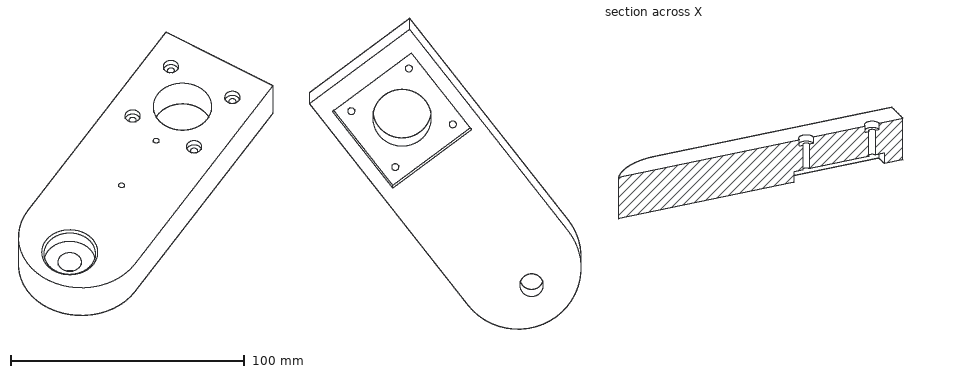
import cadquery as cq

width = 54.0
length = 138.85
thickness = 20.0
end_radius = width / 2
straight_length = length - end_radius

bore_diameter = 25.0
bore_to_square_end = 30.0
bore_y = straight_length - bore_to_square_end
screw_spacing = 31.0
screw_diameter = 3.0
screw_head_diameter = 6.5
screw_head_depth = 3.0
motor_recess_side = 42.5
motor_recess_depth = 5.0

seat_diameter = 22.0
seat_depth = 7.0
seat_chamfer = 1.0
shaft_diameter = 10.0
seat_to_round_end = 17.5
seat_y = seat_to_round_end - end_radius

pilot_diameter = 2.5
pilot_depth = 10.0
pilot_spacing = 28.0
bore_to_first_pilot = 21.35
first_pilot_y = bore_y - bore_to_first_pilot
pilot_positions = [(0, first_pilot_y), (0, first_pilot_y - pilot_spacing)]


def make_plate():
    """Extrude the round-ended outline, with its top face at Z = thickness."""
    return (
        cq.Workplane("XY")
        .moveTo(-end_radius, straight_length)
        .lineTo(-end_radius, 0)
        .threePointArc((0, -end_radius), (end_radius, 0))
        .lineTo(end_radius, straight_length)
        .close()
        .extrude(thickness)
    )


def top_plane():
    """Workplane on the top face, centred on the end-arc axis."""
    return cq.Workplane("XY", origin=(0, 0, thickness))


def cut_motor_mount(plate):
    """Remove the pilot bore, the counterbored screw holes and the motor recess."""
    bore = top_plane().center(0, bore_y).circle(bore_diameter / 2).extrude(-thickness)
    screw_square = top_plane().center(0, bore_y).rect(screw_spacing, screw_spacing, forConstruction=True)
    screws = screw_square.vertices()
    shanks = screws.circle(screw_diameter / 2).extrude(-thickness)
    heads = screws.circle(screw_head_diameter / 2).extrude(-screw_head_depth)
    recess = (
        cq.Workplane("XY")
        .center(0, bore_y)
        .rect(motor_recess_side, motor_recess_side)
        .extrude(motor_recess_depth)
    )
    return plate.cut(bore).cut(shanks).cut(heads).cut(recess)


def cut_bearing_seat(plate):
    """Revolve the stepped bearing seat and shaft hole profile about its axis and remove it."""
    seat_radius = seat_diameter / 2
    floor_z = thickness - seat_depth
    profile = [
        (0, 0),
        (shaft_diameter / 2, 0),
        (shaft_diameter / 2, floor_z),
        (seat_radius, floor_z),
        (seat_radius, thickness - seat_chamfer),
        (seat_radius + seat_chamfer, thickness),
        (0, thickness),
    ]
    cutter = cq.Workplane("XZ").polyline(profile).close().revolve(360, (0, 0), (0, 1))
    return plate.cut(cutter.translate((0, seat_y, 0)))


def cut_pilot_holes(plate):
    """Drill the two blind pilot holes down from the top face."""
    holes = top_plane().pushPoints(pilot_positions).circle(pilot_diameter / 2).extrude(-pilot_depth)
    return plate.cut(holes)


result = cut_pilot_holes(cut_bearing_seat(cut_motor_mount(make_plate())))